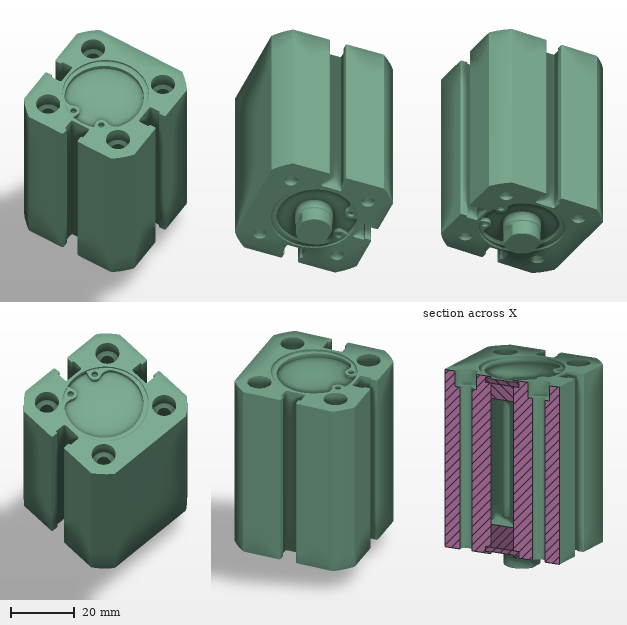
import cadquery as cq
import math


housing_width = 41.0
overall_length = 64
rod_projection = 6.0
housing_length = overall_length - rod_projection
corner_radius = 25.6
bore_radius = 13.6

mount_spacing = 26.0
mount_hole_diameter = 4.2
counterbore_diameter = 7.55
counterbore_depth = 5.0

slot_mouth_width = 5.25
slot_inner_width = 6.7
slot_floor = 14.4
slot_lip_depth = 2.3
slot_edge_radius = 0.5
slot_angles = (0, 180, 270)

ring_inset = 0.7
ring_thickness = 1.4
ring_outer_radius = 14.3
ring_inner_radius = 12.4
ring_inner_offset = 0.8
lug_x = 5.2
lug_y = -10.4
lug_radius = 1.9
lug_hole_diameter = 2.05
lug_blend_radius = 3.4

cover_inset = ring_inset + ring_thickness
head_cover_thickness = 5.1
rod_cover_thickness = 7.7

rod_radius = 6.0
rod_end_radius = 5.75
rod_shoulder_length = 0.95
rod_tip_chamfer = 0.2
flat_width = 10.05
flat_length = 4.0
rod_top = housing_length - cover_inset - head_cover_thickness


def cylinder(radius, bottom, height):
    return cq.Workplane("XY").workplane(offset=bottom).circle(radius).extrude(height)


def mirrored(point):
    """Point on the other side of the Y axis."""
    return (-point[0], point[1])


def make_slot():
    """Undercut slot in the +X side, with rounded mouth edges and floor corners."""
    side = housing_width / 2
    lip = side - slot_lip_depth
    mouth = slot_mouth_width / 2
    inner = slot_inner_width / 2
    edge = slot_edge_radius
    bend = edge * (1 - math.sqrt(0.5))
    half = (
        cq.Workplane("XY")
        .moveTo(slot_floor, 0)
        .lineTo(slot_floor, inner - edge)
        .threePointArc((slot_floor + bend, inner - bend), (slot_floor + edge, inner))
        .lineTo(lip, inner)
        .lineTo(lip, mouth)
        .lineTo(side - edge, mouth)
        .threePointArc((side - bend, mouth + bend), (side, mouth + edge))
        .lineTo(side, 0)
        .close()
        .extrude(housing_length)
    )
    return half.union(half.mirror("XZ"))


def make_snap_ring(bottom):
    """Internal snap ring, open towards -Y, with a drilled lug at each end."""
    inner_center_y = -ring_inner_offset

    lug_distance = math.hypot(lug_x, lug_y)
    gap_angle = math.atan2(lug_x, -lug_y) - math.asin(lug_radius / lug_distance)
    touch_distance = math.sqrt(lug_distance**2 - lug_radius**2)
    gap_inner = (touch_distance * math.sin(gap_angle), -touch_distance * math.cos(gap_angle))
    gap_outer = (ring_outer_radius * math.sin(gap_angle), -ring_outer_radius * math.cos(gap_angle))

    to_inner = ring_inner_radius - lug_blend_radius
    to_lug = lug_radius + lug_blend_radius
    spacing = math.hypot(lug_x, lug_y - inner_center_y)
    lug_direction = math.atan2(lug_y - inner_center_y, lug_x)
    turn = math.acos((to_inner**2 + spacing**2 - to_lug**2) / (2 * to_inner * spacing))
    blend_direction = lug_direction + turn
    blend_x = to_inner * math.cos(blend_direction)
    blend_y = inner_center_y + to_inner * math.sin(blend_direction)
    blend_end = (
        ring_inner_radius * math.cos(blend_direction),
        inner_center_y + ring_inner_radius * math.sin(blend_direction),
    )
    blend_start = (
        lug_x + (blend_x - lug_x) * lug_radius / to_lug,
        lug_y + (blend_y - lug_y) * lug_radius / to_lug,
    )
    blend_middle = (blend_x, blend_y - lug_blend_radius)
    lug_top = (lug_x, lug_y + lug_radius)

    ring = (
        cq.Workplane("XY")
        .workplane(offset=bottom)
        .moveTo(*mirrored(gap_outer))
        .threePointArc((0, ring_outer_radius), gap_outer)
        .lineTo(*gap_inner)
        .threePointArc(lug_top, blend_start)
        .threePointArc(blend_middle, blend_end)
        .threePointArc((0, inner_center_y + ring_inner_radius), mirrored(blend_end))
        .threePointArc(mirrored(blend_middle), mirrored(blend_start))
        .threePointArc(mirrored(lug_top), mirrored(gap_inner))
        .close()
        .extrude(ring_thickness)
    )
    lug_holes = (
        cq.Workplane("XY")
        .workplane(offset=bottom)
        .pushPoints([(-lug_x, lug_y), (lug_x, lug_y)])
        .circle(lug_hole_diameter / 2)
        .extrude(ring_thickness)
    )
    return ring.cut(lug_holes)


def make_housing(rings):
    """Square extrusion with a through bore, seats for the rings, slots and mounting holes."""
    block = cq.Workplane("XY").rect(housing_width, housing_width).extrude(housing_length)
    block = block.intersect(cylinder(corner_radius, 0, housing_length))
    block = block.cut(cylinder(bore_radius, 0, housing_length))
    for angle in slot_angles:
        block = block.cut(make_slot().rotate((0, 0, 0), (0, 0, 1), angle))
    for ring in rings:
        block = block.cut(ring)
    return (
        block.faces(">Z")
        .workplane(origin=(0, 0, housing_length))
        .rect(mount_spacing, mount_spacing, forConstruction=True)
        .vertices()
        .cboreHole(mount_hole_diameter, counterbore_diameter, counterbore_depth)
    )


def make_head_cover():
    """Plain disc that closes the bore under the upper snap ring."""
    return cylinder(bore_radius, rod_top, head_cover_thickness)


def make_rod_cover():
    """Disc above the lower snap ring that guides the rod."""
    disc = cylinder(bore_radius, cover_inset, rod_cover_thickness)
    return disc.cut(cylinder(rod_radius, cover_inset, rod_cover_thickness))


def make_flat_cutter():
    """Wedge that cuts the -Y wrench flat, with a 45 degree run-out at its top."""
    flat_y = -flat_width / 2
    flat_top = flat_length - rod_projection
    depth = rod_radius + flat_y
    return (
        cq.Workplane("YZ")
        .moveTo(flat_y, -rod_projection)
        .lineTo(flat_y, flat_top)
        .lineTo(flat_y - depth, flat_top + depth)
        .lineTo(flat_y - depth, -rod_projection)
        .close()
        .extrude(rod_radius, both=True)
    )


def make_rod():
    """Rod with a slightly reduced end that carries two wrench flats."""
    step = rod_radius - rod_end_radius
    rod = (
        cq.Workplane("XZ")
        .moveTo(0, rod_top)
        .lineTo(rod_radius, rod_top)
        .lineTo(rod_radius, -rod_shoulder_length)
        .lineTo(rod_end_radius, -rod_shoulder_length - step)
        .lineTo(rod_end_radius, rod_tip_chamfer - rod_projection)
        .lineTo(rod_end_radius - rod_tip_chamfer, -rod_projection)
        .lineTo(0, -rod_projection)
        .close()
        .revolve(360, (0, 0), (0, 1))
    )
    flat = make_flat_cutter()
    return rod.cut(flat).cut(flat.mirror("XZ"))


ring_bottoms = (ring_inset, housing_length - ring_inset - ring_thickness)
snap_rings = [make_snap_ring(bottom) for bottom in ring_bottoms]
housing = make_housing(snap_rings)
head_cover = make_head_cover()
rod_cover = make_rod_cover()
rod = make_rod()

result = cq.Compound.makeCompound([
    housing.val(),
    head_cover.val(),
    rod_cover.val(),
    rod.val(),
    *[ring.val() for ring in snap_rings],
])